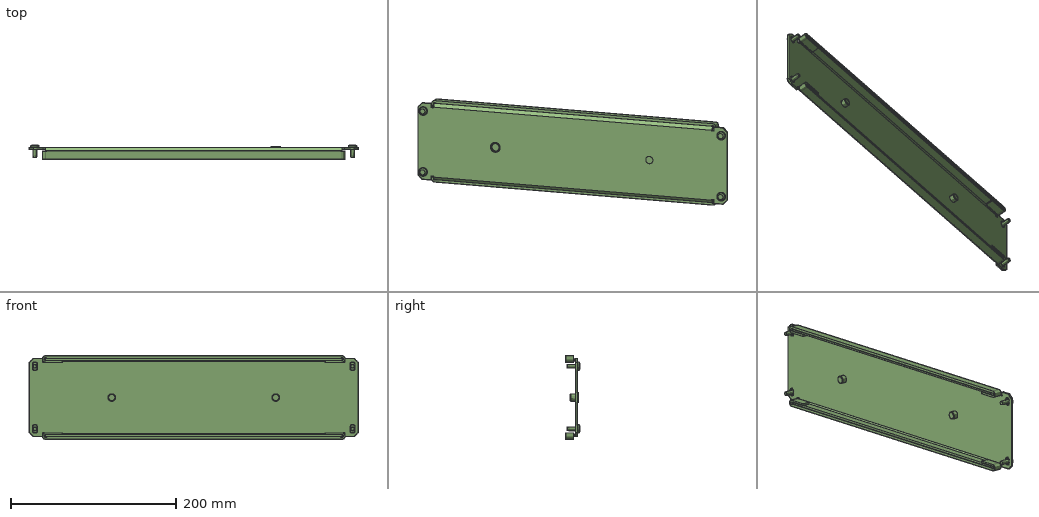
import cadquery as cq

panel_length = 398.0
panel_height = 94.7
sheet_thickness = 2.5
corner_chamfer = 5.0

flange_length = 359.0
bend_inner_leg = 1.5
bend_outer_leg = 4.0
relief_width = 2.8
relief_depth = 4.8
panel_depth = 13.0

edging_length = 366.0
edging_front = 14.5
edging_depth = 10.0
edging_wall = 3.0
tab_length = 24.3
tab_thickness = 2.5
end_wall = 2.5

screw_spacing_x = 384.0
screw_spacing_z = 75.5
slot_width = 6.0
slot_height = 9.5
screw_diameter = 4.8
screw_length = 12.5
screw_tip_length = 2.0
screw_tip_inset = 0.5
screw_head_diameter = 10.5
screw_head_height = 3.0
screw_bevel_height = 1.0
screw_bevel_inset = 2.0

pin_spacing = 198.2
pin_diameter = 9.0
pin_length = 8.8
pin_tip_chamfer = 0.8
pin_head_diameter = 12.0
pin_head_height = 1.0

half_height = panel_height / 2
edging_back = edging_depth - edging_front
screw_points = [
    (x * screw_spacing_x / 2, z * screw_spacing_z / 2)
    for x in (-1, 1)
    for z in (-1, 1)
]
pin_points = [(x * pin_spacing / 2, 0) for x in (-1, 1)]


def from_front(y):
    """Workplane at depth y whose extrusions run towards -Y, with X and Z as its axes."""
    return cq.Workplane("XZ", origin=(0, y, 0))


def lower_copy(upper):
    """Mirror a body from the upper edge of the panel to the lower edge."""
    return upper.mirror("XY")


def make_flange():
    """Flange along the upper edge, folded forwards from the plate through a sloping bend."""
    flange_inside = half_height - sheet_thickness
    return (
        cq.Workplane("YZ", origin=(-flange_length / 2, 0, 0))
        .moveTo(0, half_height - bend_outer_leg)
        .lineTo(-bend_outer_leg, half_height)
        .lineTo(-panel_depth, half_height)
        .lineTo(-panel_depth, flange_inside)
        .lineTo(-sheet_thickness - bend_inner_leg, flange_inside)
        .lineTo(-sheet_thickness, flange_inside - bend_inner_leg)
        .lineTo(-sheet_thickness, half_height - relief_depth)
        .lineTo(0, half_height - relief_depth)
        .close()
        .extrude(flange_length)
    )


def make_panel():
    """Sheet plate with chamfered corners, two folded flanges, screw slots and pin holes."""
    plate = (
        from_front(0)
        .rect(panel_length, panel_height)
        .extrude(sheet_thickness)
        .edges("|Y")
        .chamfer(corner_chamfer)
    )
    edge_notches = (
        from_front(0)
        .pushPoints([(0, half_height), (0, -half_height)])
        .rect(flange_length + 2 * relief_width, 2 * relief_depth)
        .extrude(sheet_thickness)
    )
    flange = make_flange()
    slots = (
        from_front(0)
        .pushPoints(screw_points)
        .slot2D(slot_height, slot_width, 90)
        .extrude(sheet_thickness)
    )
    pin_holes = from_front(0).pushPoints(pin_points).circle(pin_diameter / 2).extrude(sheet_thickness)
    return plate.cut(edge_notches).union(flange).union(lower_copy(flange)).cut(slots).cut(pin_holes)


def make_edging():
    """Round-ended edging over the outside and ends of the upper flange, with a tab under each end."""
    outer = half_height + edging_wall
    inner = half_height - sheet_thickness
    tab_edge = inner - tab_thickness
    middle = (outer + tab_edge) / 2
    end_radius = (outer - tab_edge) / 2
    end_center = edging_length / 2 - end_radius

    block = (
        from_front(edging_back)
        .center(0, middle)
        .slot2D(edging_length, 2 * end_radius)
        .extrude(edging_depth)
    )
    flange_space = (
        from_front(edging_back)
        .center(0, half_height - sheet_thickness / 2)
        .rect(flange_length, sheet_thickness)
        .extrude(edging_depth)
    )
    end_holes = (
        from_front(edging_back)
        .pushPoints([(-end_center, middle), (end_center, middle)])
        .circle(end_radius - end_wall)
        .extrude(edging_depth)
    )
    tab_gap = (
        from_front(edging_back)
        .center(0, inner - tab_thickness / 2)
        .rect(edging_length - 2 * tab_length, tab_thickness)
        .extrude(edging_depth)
    )
    return block.cut(flange_space).cut(end_holes).cut(tab_gap)


def make_screw(x, z):
    """Bevelled-head screw through a slot, its head on the back of the plate."""
    head = (
        from_front(screw_head_height)
        .center(x, z)
        .circle(screw_head_diameter / 2)
        .extrude(screw_head_height)
        .faces(">Y")
        .chamfer(screw_bevel_height, screw_bevel_inset)
    )
    shank = (
        from_front(0)
        .center(x, z)
        .circle(screw_diameter / 2)
        .extrude(screw_length)
        .faces("<Y")
        .chamfer(screw_tip_length, screw_tip_inset)
    )
    return head.union(shank)


def make_plain_pin(x, z):
    """Pin through the plate, flush with its back."""
    return (
        from_front(0)
        .center(x, z)
        .circle(pin_diameter / 2)
        .extrude(pin_length)
        .faces("<Y")
        .chamfer(pin_tip_chamfer)
    )


def make_headed_pin(x, z):
    """Pin through the plate with a thin head on its back."""
    head = from_front(pin_head_height).center(x, z).circle(pin_head_diameter / 2).extrude(pin_head_height)
    return make_plain_pin(x, z).union(head)


panel = make_panel()
upper_edging = make_edging()
edgings = [upper_edging, lower_copy(upper_edging)]
screws = [make_screw(x, z) for x, z in screw_points]
left_pin_point, right_pin_point = pin_points
pins = [make_plain_pin(*left_pin_point), make_headed_pin(*right_pin_point)]

result = cq.Compound.makeCompound(
    [body.val() for body in [panel, *edgings, *screws, *pins]]
)